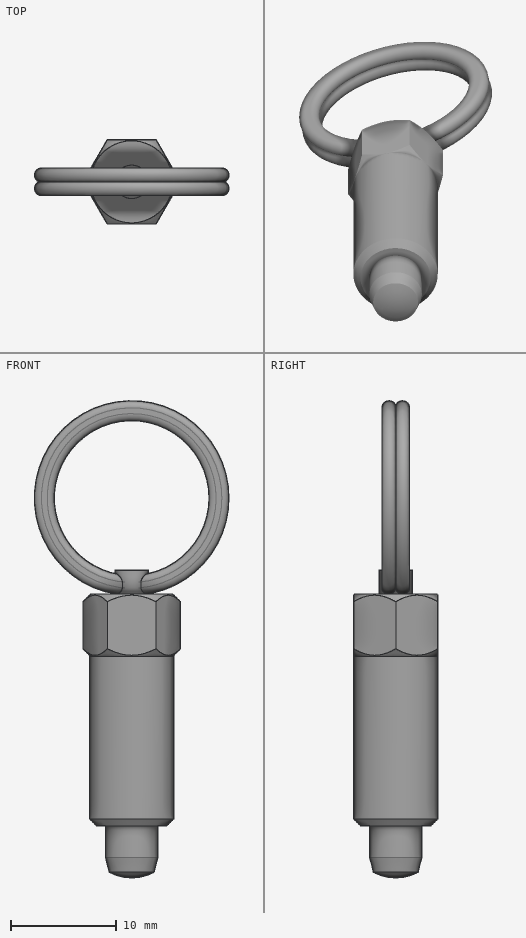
import cadquery as cq
import math

TOTAL_HEIGHT = 45.25
NOSE_DOME_HEIGHT = 0.55
NOSE_TAPER_TOP = 1.95
BARREL_BOTTOM = 4.95
HEX_BOTTOM = 21.0
HEX_TOP = 26.92
KNOB_TOP = 29.2

NOSE_RADIUS = 2.5
NOSE_TIP_RADIUS = 2.13
BARREL_DIAMETER = 8.0
BARREL_CHAMFER = 0.7
HEX_ACROSS_FLATS = BARREL_DIAMETER
HEX_FACE_RADIUS = 3.9
KNOB_RADIUS = 1.6

RING_OUTER_RADIUS = 9.25
COIL_RADIAL_WIDTH = 1.9
COIL_END_RADIUS = 0.7
COIL_OFFSET = 0.65
RING_CENTER_HEIGHT = TOTAL_HEIGHT - RING_OUTER_RADIUS


def make_nose_and_barrel():
    """Turned lower part: domed, tapered nose below a chamfered barrel."""
    barrel_radius = BARREL_DIAMETER / 2
    dome_radius = (NOSE_TIP_RADIUS**2 + NOSE_DOME_HEIGHT**2) / (2 * NOSE_DOME_HEIGHT)
    mid_radius = NOSE_TIP_RADIUS / 2
    mid_height = dome_radius - math.sqrt(dome_radius**2 - mid_radius**2)
    return (
        cq.Workplane("XZ")
        .moveTo(0, 0)
        .threePointArc((mid_radius, mid_height), (NOSE_TIP_RADIUS, NOSE_DOME_HEIGHT))
        .lineTo(NOSE_RADIUS, NOSE_TAPER_TOP)
        .lineTo(NOSE_RADIUS, BARREL_BOTTOM)
        .lineTo(barrel_radius - BARREL_CHAMFER, BARREL_BOTTOM)
        .lineTo(barrel_radius, BARREL_BOTTOM + BARREL_CHAMFER)
        .lineTo(barrel_radius, HEX_BOTTOM)
        .lineTo(0, HEX_BOTTOM)
        .close()
        .revolve(360, (0, 0), (0, 1))
    )


def make_hex_head():
    """Hexagon with corners along X, its corners turned to 45 degrees at both ends."""
    height = HEX_TOP - HEX_BOTTOM
    corner_radius = HEX_ACROSS_FLATS / math.sqrt(3)
    prism = (
        cq.Workplane("XY")
        .workplane(offset=HEX_BOTTOM)
        .polygon(6, 2 * corner_radius)
        .extrude(height)
    )
    chamfered_blank = (
        cq.Workplane("XY")
        .workplane(offset=HEX_BOTTOM)
        .circle(corner_radius)
        .extrude(height)
        .faces("<Z or >Z")
        .chamfer(corner_radius - HEX_FACE_RADIUS)
    )
    return prism.intersect(chamfered_blank)


def make_knob():
    """Round stud on top of the hexagon that carries the ring."""
    return (
        cq.Workplane("XY")
        .workplane(offset=HEX_TOP)
        .circle(KNOB_RADIUS)
        .extrude(KNOB_TOP - HEX_TOP)
    )


def make_coil(y_offset):
    """One turn of the ring, its section lengthened in the radial direction."""
    section_radius = RING_OUTER_RADIUS - COIL_RADIAL_WIDTH / 2
    return (
        cq.Workplane("XY", origin=(0, 0, RING_CENTER_HEIGHT))
        .center(section_radius, y_offset)
        .slot2D(COIL_RADIAL_WIDTH, 2 * COIL_END_RADIUS)
        .revolve(360, (-section_radius, 0), (-section_radius, 1))
    )


def make_ring():
    return make_coil(-COIL_OFFSET).union(make_coil(COIL_OFFSET))


def make_plunger(ring):
    """Body with a passage through the knob that matches the ring."""
    solid_body = make_nose_and_barrel().union(make_hex_head()).union(make_knob())
    return solid_body.cut(ring)


pull_ring = make_ring()
plunger = make_plunger(pull_ring)

result = cq.Compound.makeCompound([plunger.val(), pull_ring.val()])